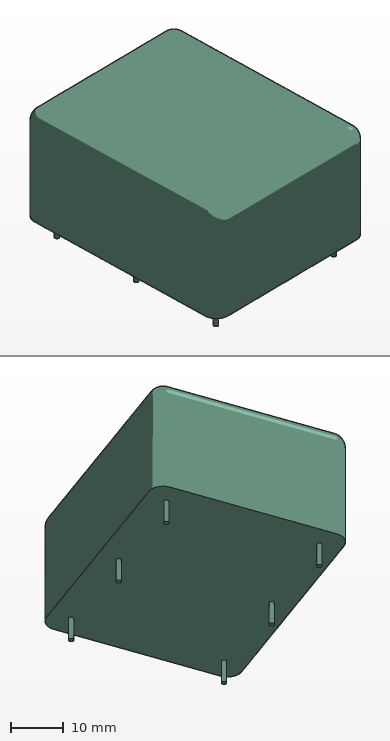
import cadquery as cq

case_length = 51.1
case_width = 41.1
overall_height = 30.0
edge_radius = 3.0

pin_length = 5.0
pin_diameter = 1.0
pin_columns = 3
pin_rows = 2
column_pitch = 21.0
row_pitch = 32.2

case_height = overall_height - pin_length


def make_case():
    """Block standing on Z = 0 with rounded upright and top edges."""
    block = cq.Workplane("XY").box(case_length, case_width, case_height, centered=(True, True, False))
    return block.edges("|Z or >Z").fillet(edge_radius)


def make_pins():
    """Grid of round pins hanging below the case."""
    return (
        cq.Workplane("XY")
        .rarray(column_pitch, row_pitch, pin_columns, pin_rows)
        .circle(pin_diameter / 2)
        .extrude(-pin_length)
    )


result = make_case().union(make_pins())